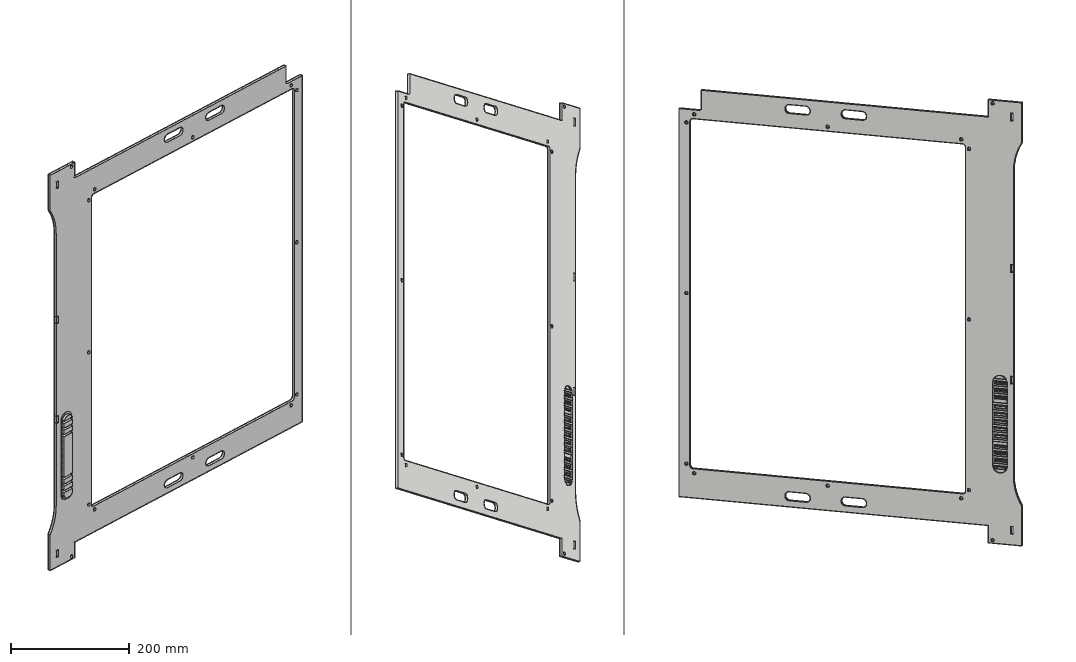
import cadquery as cq


FRAME_WIDTH = 610.0
FRAME_HEIGHT = 776.0
FRAME_THICK = 5.05
ARM_INSET = 30.0
TAB_WIDTH = 60.0
TAB_EDGE = 70.0
EDGE_SETBACK = 15.0
EDGE_SWEEP = 50.5
NOTCH_WIDTH = 39.5
NOTCH_HEIGHT = 36.0
NOTCH_RADIUS = 4.0

WINDOW_NEAR = 100.0
WINDOW_FAR = FRAME_WIDTH - 19.5
WINDOW_HEIGHT = 613.0
WINDOW_RADIUS = 5.5

HOLE_DIAMETER = 5.5
ROW_OFFSET = 8.0
ROW_HALF_SPAN = 237.5
COLUMN_OFFSET = 6.0
COLUMN_HALF_SPAN = 299.0
TAB_HOLE_INSET = 5.5
TAB_HOLE_Y = 52.0
HAND_SLOT_LENGTH = 45.0
HAND_SLOT_HEIGHT = 15.5
HAND_SLOT_Y = (299.0, 399.0)
HAND_SLOT_INSET = 49.0
KEY_SLOT_WIDTH = 4.0
KEY_SLOT_HEIGHT = 13.0
KEY_SLOT_Y = 18.0
KEY_SLOT_Z = (25.5, 289.0, 484.0, 749.5)

GRILLE_Y = 39.0
GRILLE_Z = 209.5
VENT_MID_Z = 212.5
GRILLE_WIDTH = 25.5
GRILLE_LENGTH = 171.0
GRILLE_DEPTH = 2 * FRAME_THICK
BLOCK_WIDTH = 20.0
BLOCK_LENGTH = 162.0
FACE_RECESS = 2.0
VENT_GROUPS = (3, 5, 3)
GROUP_STEP = 16.0
VENT_HEIGHT = 4.0
CROSSBAR_HEIGHT = 4.0
LEDGE = 2.55
VENT_PITCH = VENT_HEIGHT + CROSSBAR_HEIGHT + 2 * LEDGE

MID_Z = FRAME_HEIGHT / 2
WINDOW_MID_Y = (WINDOW_NEAR + WINDOW_FAR) / 2


def on_plane(x):
    """A sketch plane across X, with local axes Y and Z; it extrudes toward +X."""
    return cq.Workplane("YZ", origin=(x, 0, 0))


def mirrored_in_height(inset):
    """The two heights that lie the same distance from the bottom and the top edge."""
    return (inset, FRAME_HEIGHT - inset)


def frame_blank():
    arm_top = FRAME_HEIGHT - ARM_INSET
    notch_z = arm_top - NOTCH_HEIGHT
    notch_y = FRAME_WIDTH - NOTCH_WIDTH
    sweep_radius = (EDGE_SETBACK**2 + EDGE_SWEEP**2) / (2 * EDGE_SETBACK)
    half_rise = EDGE_SWEEP / 2
    half_y = EDGE_SETBACK - sweep_radius + (sweep_radius**2 - half_rise**2) ** 0.5
    sweep_low = TAB_EDGE + EDGE_SWEEP
    sweep_high = FRAME_HEIGHT - sweep_low
    blank = (
        on_plane(0)
        .moveTo(0, 0)
        .lineTo(0, TAB_EDGE)
        .threePointArc((half_y, sweep_low - half_rise), (EDGE_SETBACK, sweep_low))
        .lineTo(EDGE_SETBACK, sweep_high)
        .threePointArc((half_y, sweep_high + half_rise), (0, FRAME_HEIGHT - TAB_EDGE))
        .lineTo(0, FRAME_HEIGHT)
        .lineTo(TAB_WIDTH, FRAME_HEIGHT)
        .lineTo(TAB_WIDTH, arm_top)
        .lineTo(notch_y, arm_top)
        .lineTo(notch_y, notch_z)
        .lineTo(FRAME_WIDTH, notch_z)
        .lineTo(FRAME_WIDTH, ARM_INSET)
        .lineTo(TAB_WIDTH, ARM_INSET)
        .lineTo(TAB_WIDTH, 0)
        .close()
        .extrude(FRAME_THICK)
    )
    notch_corner = cq.selectors.NearestToPointSelector((FRAME_THICK / 2, notch_y, notch_z))
    return blank.edges(notch_corner).fillet(NOTCH_RADIUS)


def window_cut():
    return (
        on_plane(0)
        .center(WINDOW_MID_Y, MID_Z)
        .rect(WINDOW_FAR - WINDOW_NEAR, WINDOW_HEIGHT)
        .extrude(FRAME_THICK)
        .edges("|X")
        .fillet(WINDOW_RADIUS)
    )


def hole_cuts():
    row_inset = (FRAME_HEIGHT - WINDOW_HEIGHT) / 2 - ROW_OFFSET
    row_ys = [WINDOW_MID_Y + side * ROW_HALF_SPAN for side in (-1, 0, 1)]
    column_zs = [MID_Z + side * COLUMN_HALF_SPAN for side in (-1, 0, 1)]
    column_ys = (WINDOW_NEAR - COLUMN_OFFSET, WINDOW_FAR + COLUMN_OFFSET)
    points = [(y, z) for y in row_ys for z in mirrored_in_height(row_inset)]
    points += [(y, z) for y in column_ys for z in column_zs]
    points += [(TAB_HOLE_Y, z) for z in mirrored_in_height(TAB_HOLE_INSET)]
    return on_plane(0).pushPoints(points).circle(HOLE_DIAMETER / 2).extrude(FRAME_THICK)


def hand_slot_cuts():
    points = [(y, z) for y in HAND_SLOT_Y for z in mirrored_in_height(HAND_SLOT_INSET)]
    return on_plane(0).pushPoints(points).slot2D(HAND_SLOT_LENGTH, HAND_SLOT_HEIGHT).extrude(FRAME_THICK)


def key_slot_cuts():
    points = [(KEY_SLOT_Y, z) for z in KEY_SLOT_Z]
    return on_plane(0).pushPoints(points).rect(KEY_SLOT_WIDTH, KEY_SLOT_HEIGHT).extrude(FRAME_THICK)


def grille_obround(length, width, x_start, x_end):
    """An upright round-ended block centred on the grille."""
    return (
        on_plane(x_start)
        .center(GRILLE_Y, GRILLE_Z)
        .slot2D(length, width, 90)
        .extrude(x_end - x_start)
    )


def vent_heights():
    """Centre heights of the vents, from the bottom up, as one list per group."""
    groups = []
    position = 0
    for count in VENT_GROUPS:
        groups.append([position + index * VENT_PITCH for index in range(count)])
        position = groups[-1][-1] + GROUP_STEP
    start = VENT_MID_Z - groups[-1][-1] / 2
    return [[start + offset for offset in group] for group in groups]


def crossbar_heights(lower_zs, middle_zs, upper_zs):
    """Crossbars half a pitch below and above the middle vents, and outward of every other vent."""
    half_pitch = VENT_PITCH / 2
    below = [z - half_pitch for z in lower_zs + middle_zs]
    above = [z + half_pitch for z in middle_zs[-1:] + upper_zs]
    return below + above


def grille_rows(heights, width, height, x_start, x_end):
    """Bars across the grille, centred at the given heights."""
    points = [(GRILLE_Y, z) for z in heights]
    return on_plane(x_start).pushPoints(points).rect(width, height).extrude(x_end - x_start)


def make_frame():
    frame = frame_blank().cut(window_cut())
    frame = frame.cut(hole_cuts())
    frame = frame.cut(hand_slot_cuts())
    frame = frame.cut(key_slot_cuts())
    return frame.cut(grille_obround(GRILLE_LENGTH, GRILLE_WIDTH, 0, FRAME_THICK))


def make_grille():
    envelope = grille_obround(GRILLE_LENGTH, GRILLE_WIDTH, 0, FRAME_THICK)
    panel = grille_obround(GRILLE_LENGTH, GRILLE_WIDTH, FACE_RECESS, FRAME_THICK)
    block = grille_obround(BLOCK_LENGTH, BLOCK_WIDTH, FRAME_THICK, GRILLE_DEPTH)
    lower_zs, middle_zs, upper_zs = vent_heights()
    blind_zs = [lower_zs[0] - VENT_PITCH, *middle_zs]
    bar_zs = crossbar_heights(lower_zs, middle_zs, upper_zs)
    crossbars = grille_rows(bar_zs, GRILLE_WIDTH, CROSSBAR_HEIGHT, 0, FACE_RECESS)
    open_vents = grille_rows(lower_zs + upper_zs, BLOCK_WIDTH, VENT_HEIGHT, FACE_RECESS, GRILLE_DEPTH)
    blind_vents = grille_rows(blind_zs, BLOCK_WIDTH, VENT_HEIGHT, FACE_RECESS, FRAME_THICK)
    grille = panel.union(block).union(crossbars.intersect(envelope))
    return grille.cut(open_vents).cut(blind_vents)


frame = make_frame()
grille = make_grille()
result = cq.Compound.makeCompound([frame.solids().val(), grille.solids().val()])